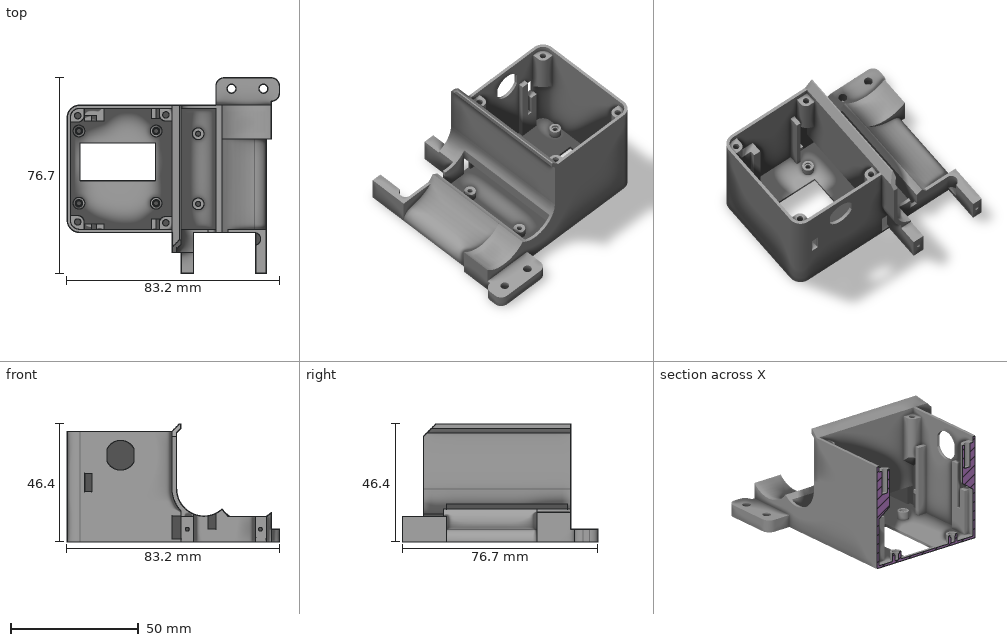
import cadquery as cq
import math

WALL = 1.25
FLOOR = 1.2
OVERCUT = 0.8

DEPTH = 49.95
BODY_HEIGHT = 43.45
CORNER_RADIUS = 5.0
WALL_LEFT = 41.1
WALL_RIGHT = 42.95

TROUGH_Z = 20.9
TROUGH_X = 53.6
TROUGH_RADIUS = TROUGH_X - WALL_RIGHT
SHELL_RADIUS = TROUGH_X - WALL_LEFT
SADDLE_X = 70.9
SADDLE_RADIUS = 13.0

TOTAL_HEIGHT = 46.4
LIP_RIGHT = 44.5
LIP_TIP_LEFT = WALL_LEFT + TOTAL_HEIGHT - BODY_HEIGHT
LIP_TIP_BOTTOM = 44.45
FLANGE_FRONT = -7.8
FLANGE_CHAMFER = 5.0

BAY_RIGHT = 58.3
RIM_HEIGHT = 10.15
BLOCK_RIGHT = 78.1
BACK_RIGHT = 80.0
BACK_FRONT = 36.6
RIDGE_X = 60.8
EDGE_RADIUS = 5.0
EDGE_START_X = 73.5
SWEEP_MID = (66.2, 7.7)

ARM_FRONT = -16.0
LEFT_ARM = (44.7, 49.5)
RIGHT_ARM = (73.85, BLOCK_RIGHT)
ARM_HOLE_DIAMETER = 1.5
ARM_HOLE_DEPTH = 6.7
ARM_HOLE_Z = 5.1
ARM_HOLES_X = (47.1, 75.75)
RELIEF_X = 73.35
RELIEF_RADIUS = 2.5
RELIEF_FLOOR = 1.8

TAB_BACK = 60.7
TAB_RIGHT = 83.25
TAB_FRONT = 51.4
TAB_HEIGHT = 5.1
TAB_RADIUS = 3.3
TAB_HOLE_DIAMETER = 3.4
TAB_HOLES_X = (64.4, 76.9)
TAB_HOLES_Y = 56.4

WINDOW = (5.2, 34.6, 20.4, 35.05)
SWITCH_X = 21.0
SWITCH_Z = 34.05
SWITCH_DIAMETER = 11.65
SWITCH_WIDTH = 10.65
PORT = (7.0, 9.7, 19.8, 27.0)
NOTCH_LEFT = 55.3
NOTCH_BOTTOM = 5.1
PASSAGE_TOP = 10.3

POST_TOP = 41.05
POST_CORNER_Z = 18.8
POST_HOLE_DIAMETER = 2.5
POST_HOLE_DEPTH = 10.0
POST_ROUND = 2.5
LEFT_POST_REACH = 6.7
RIGHT_POST_LEFT = 36.1
RIGHT_POST_REACH = 6.25
LEFT_POST_HOLE = 4.2
RIGHT_POST_HOLE_X = 38.7
RIGHT_POST_HOLE_Y = 3.8

RAIL_TOP = 30.0
LEDGE_TOP = 11.3
RIGHT_SHELF_BOTTOM = 9.8
RIGHT_RAIL = (33.05, 34.9)
RIGHT_RAIL_DEPTH = 5.3
LEFT_BACKING = (6.75, 9.65)
LEFT_RAIL = (11.5, 14.5)
FRONT_GUIDE_DEPTH = 3.3
REAR_SLOT_BACK = 45.9
REAR_GUIDE_FRONT = 43.8

STANDOFF_HEIGHT = 3.3
STANDOFF_DIAMETER = 4.6
STANDOFF_HOLE = 2.0
STANDOFF_BORE = 2.8
STANDOFF_BORE_DEPTH = 0.8
HOUSING_STANDOFFS = [(x, y) for x in (4.7, 34.9) for y in (11.5, 39.8)]
BAY_STANDOFFS = [(51.4, y) for y in (11.2, 38.7)]


def block(x0, x1, y0, y1, z0, z1):
    """Axis-aligned box between two opposite corners."""
    return cq.Workplane("XY").box(x1 - x0, y1 - y0, z1 - z0, centered=False).translate((x0, y0, z0))


def along_y(sketch, y0, y1):
    """Extrude a closed XZ outline from y0 to y1."""
    return sketch.extrude(y0 - y1).translate((0, y0, 0))


def cylinder_y(x, z, radius, y0, y1):
    return along_y(cq.Workplane("XZ").center(x, z).circle(radius), y0, y1)


def trough_height(x, radius=TROUGH_RADIUS):
    """Height of a trough surface centred on the first trough axis."""
    return TROUGH_Z - math.sqrt(radius ** 2 - (x - TROUGH_X) ** 2)


def make_housing():
    outer = block(0, WALL_RIGHT, 0, DEPTH, 0, BODY_HEIGHT).edges("|Z and <X").fillet(CORNER_RADIUS)
    cavity = block(WALL, WALL_LEFT, WALL, DEPTH - WALL, FLOOR, BODY_HEIGHT + OVERCUT)
    cavity = cavity.edges("|Z and <X").fillet(CORNER_RADIUS - WALL)
    return outer.cut(cavity)


def make_bay():
    """Floor with front and rear walls whose tops follow the first trough."""
    bay = block(WALL_LEFT, BAY_RIGHT, 0, DEPTH, 0, TROUGH_Z)
    return bay.cut(block(WALL_LEFT, BAY_RIGHT, WALL, DEPTH - WALL, FLOOR, TROUGH_Z))


def divider_outline():
    """Upright wall with a slanted lip on top, down to the trough axis."""
    return (
        cq.Workplane("XZ")
        .moveTo(WALL_LEFT, TROUGH_Z)
        .lineTo(WALL_LEFT, BODY_HEIGHT)
        .lineTo(LIP_TIP_LEFT, TOTAL_HEIGHT)
        .lineTo(LIP_RIGHT, TOTAL_HEIGHT)
        .lineTo(LIP_RIGHT, LIP_TIP_BOTTOM)
        .lineTo(WALL_RIGHT, LIP_TIP_BOTTOM - LIP_RIGHT + WALL_RIGHT)
        .lineTo(WALL_RIGHT, TROUGH_Z)
        .close()
    )


def make_divider():
    """Full-length divider; its front end overhangs and has a chamfered top corner."""
    divider = along_y(divider_outline(), FLANGE_FRONT, DEPTH)
    corner = (
        cq.Workplane("YZ")
        .moveTo(FLANGE_FRONT, TOTAL_HEIGHT)
        .lineTo(FLANGE_FRONT + FLANGE_CHAMFER, TOTAL_HEIGHT)
        .lineTo(FLANGE_FRONT, TOTAL_HEIGHT - FLANGE_CHAMFER)
        .close()
        .extrude(BACK_RIGHT)
    )
    foot = cylinder_y(TROUGH_X, TROUGH_Z, SHELL_RADIUS, FLANGE_FRONT, 0)
    foot = foot.intersect(block(WALL_LEFT, LEFT_ARM[0], FLANGE_FRONT, 0, RIM_HEIGHT, TROUGH_Z))
    root = block(WALL_LEFT, LEFT_ARM[0], 0, DEPTH, PASSAGE_TOP, TROUGH_Z)
    return divider.cut(corner).union(foot).union(root)


def make_front_saddle():
    """Block falling in a concave sweep from the ridge to a rounded right edge."""
    edge_x = BLOCK_RIGHT - EDGE_RADIUS
    edge_z = math.sqrt(EDGE_RADIUS ** 2 - (EDGE_START_X - edge_x) ** 2)
    edge_mid = EDGE_RADIUS * math.sqrt(0.5)
    return along_y(
        cq.Workplane("XZ")
        .moveTo(BAY_RIGHT, 0)
        .lineTo(BAY_RIGHT, TROUGH_Z)
        .lineTo(RIDGE_X, TROUGH_Z)
        .lineTo(RIDGE_X, trough_height(RIDGE_X))
        .threePointArc(SWEEP_MID, (EDGE_START_X, edge_z))
        .threePointArc((edge_x + edge_mid, edge_mid), (BLOCK_RIGHT, 0))
        .close(),
        0,
        BACK_FRONT,
    )


def make_saddle():
    rear = block(BAY_RIGHT, BACK_RIGHT, BACK_FRONT, DEPTH, 0, TROUGH_Z)
    rear = rear.cut(cylinder_y(SADDLE_X, TROUGH_Z, SADDLE_RADIUS, 0, DEPTH))
    front_wall = block(BAY_RIGHT, BLOCK_RIGHT, 0, WALL, 0, RIM_HEIGHT)
    return rear.union(make_front_saddle()).union(front_wall)


def make_arms():
    arms = block(*LEFT_ARM, ARM_FRONT, WALL, 0, RIM_HEIGHT)
    arms = arms.union(block(*LEFT_ARM, FLANGE_FRONT, WALL, 0, TROUGH_Z))
    return arms.union(block(*RIGHT_ARM, ARM_FRONT, WALL, 0, RIM_HEIGHT))


def cut_arm_details(body):
    for x in ARM_HOLES_X:
        hole_end = ARM_FRONT + ARM_HOLE_DEPTH
        body = body.cut(cylinder_y(x, ARM_HOLE_Z, ARM_HOLE_DIAMETER / 2, ARM_FRONT, hole_end))
    relief = (
        cq.Workplane("XY", origin=(RELIEF_X, -RELIEF_RADIUS, RELIEF_FLOOR))
        .circle(RELIEF_RADIUS)
        .extrude(RIM_HEIGHT)
    )
    return body.cut(relief)


def make_tab():
    tab = block(BAY_RIGHT, TAB_RIGHT, TAB_FRONT, TAB_BACK, 0, TAB_HEIGHT)
    tab = tab.edges("|Z and (>X or >Y)").fillet(TAB_RADIUS)
    tab = tab.union(block(BAY_RIGHT, BACK_RIGHT, DEPTH, TAB_FRONT + TAB_RADIUS, 0, TAB_HEIGHT))
    holes = (
        cq.Workplane("XY")
        .pushPoints([(x, TAB_HOLES_Y) for x in TAB_HOLES_X])
        .circle(TAB_HOLE_DIAMETER / 2)
        .extrude(TAB_HEIGHT)
    )
    return tab.cut(holes)


def make_post(left, reach_x, reach_y, hole):
    """Front corner post, sloped underneath towards the wall corner.

    reach_x and reach_y locate the free corner of the post; hole is its screw hole.
    """
    corner_x = WALL if left else WALL_LEFT
    x0, x1 = sorted((corner_x, reach_x))
    free_side = ">X" if left else "<X"
    post = block(x0, x1, WALL, reach_y, 0, POST_TOP)
    post = post.edges("|Z and >Y").edges(free_side).fillet(POST_ROUND)
    inward = 1 if left else -1
    below = (
        cq.Workplane(
            cq.Plane(
                origin=(corner_x, WALL, POST_CORNER_Z),
                xDir=(inward, -1, 0),
                normal=(inward, 1, -math.sqrt(2)),
            )
        )
        .rect(2 * DEPTH, 2 * DEPTH)
        .extrude(DEPTH)
    )
    screw = (
        cq.Workplane("XY", origin=(*hole, POST_TOP))
        .circle(POST_HOLE_DIAMETER / 2)
        .extrude(-POST_HOLE_DEPTH)
    )
    return post.cut(below).cut(screw)


def make_posts():
    left = make_post(True, LEFT_POST_REACH, LEFT_POST_REACH, (LEFT_POST_HOLE, LEFT_POST_HOLE))
    right = make_post(
        False, RIGHT_POST_LEFT, RIGHT_POST_REACH, (RIGHT_POST_HOLE_X, RIGHT_POST_HOLE_Y)
    )
    front = left.union(right)
    envelope = block(0, WALL_LEFT, 0, DEPTH, 0, POST_TOP).edges("|Z and <X").fillet(CORNER_RADIUS)
    rear = front.mirror("XZ", (0, DEPTH / 2, 0))
    return front.union(rear).intersect(envelope)


def make_board_guides():
    """Rails and ledges that hold two upright boards spanning the housing."""
    front_wall = WALL / 2
    rear_wall = DEPTH - WALL / 2
    guides = block(LEFT_BACKING[0], LEFT_RAIL[1], REAR_SLOT_BACK, rear_wall, 0, RAIL_TOP)
    for y0, y1 in ((front_wall, FRONT_GUIDE_DEPTH), (REAR_GUIDE_FRONT, REAR_SLOT_BACK)):
        guides = guides.union(block(*LEFT_BACKING, y0, y1, 0, PORT[2]))
        guides = guides.union(block(LEFT_BACKING[1], LEFT_RAIL[0], y0, y1, 0, LEDGE_TOP))
        guides = guides.union(block(*LEFT_RAIL, y0, y1, 0, RAIL_TOP))
    for y0, y1 in ((front_wall, RIGHT_RAIL_DEPTH), (DEPTH - RIGHT_RAIL_DEPTH, rear_wall)):
        guides = guides.union(block(*RIGHT_RAIL, y0, y1, 0, RAIL_TOP))
        guides = guides.union(block(RIGHT_RAIL[1], RIGHT_POST_LEFT, y0, y1, RIGHT_SHELF_BOTTOM, LEDGE_TOP))
    return guides


def make_standoffs():
    top = FLOOR + STANDOFF_HEIGHT
    points = HOUSING_STANDOFFS + BAY_STANDOFFS
    floor = cq.Workplane("XY", origin=(0, 0, FLOOR))
    standoffs = floor.pushPoints(points).circle(STANDOFF_DIAMETER / 2).extrude(STANDOFF_HEIGHT)
    holes = floor.pushPoints(points).circle(STANDOFF_HOLE / 2).extrude(STANDOFF_HEIGHT)
    bores = (
        cq.Workplane("XY", origin=(0, 0, top))
        .pushPoints(HOUSING_STANDOFFS)
        .circle(STANDOFF_BORE / 2)
        .extrude(-STANDOFF_BORE_DEPTH)
    )
    return standoffs.cut(holes).cut(bores)


def cut_openings(body):
    window = block(*WINDOW, -OVERCUT, FLOOR + OVERCUT)
    port = block(PORT[0], PORT[1], -OVERCUT, WALL + OVERCUT, PORT[2], PORT[3])
    switch = cylinder_y(SWITCH_X, SWITCH_Z, SWITCH_DIAMETER / 2, -OVERCUT, WALL + OVERCUT)
    half_width = SWITCH_WIDTH / 2
    flats = block(SWITCH_X - half_width, SWITCH_X + half_width, -OVERCUT, DEPTH, 0, BODY_HEIGHT)
    notch = block(NOTCH_LEFT, BAY_RIGHT, 0, WALL, NOTCH_BOTTOM, TROUGH_Z)
    passage = block(WALL_LEFT, LEFT_ARM[0], 0, DEPTH - WALL, FLOOR, PASSAGE_TOP)
    for opening in (window, port, switch.intersect(flats), notch, passage):
        body = body.cut(opening)
    return body


shell = make_housing().union(make_bay()).union(make_saddle()).union(make_arms()).union(make_divider())
shell = shell.cut(cylinder_y(TROUGH_X, TROUGH_Z, TROUGH_RADIUS, FLANGE_FRONT, DEPTH))
shell = cut_openings(cut_arm_details(shell))
result = shell.union(make_tab()).union(make_posts()).union(make_board_guides()).union(make_standoffs())